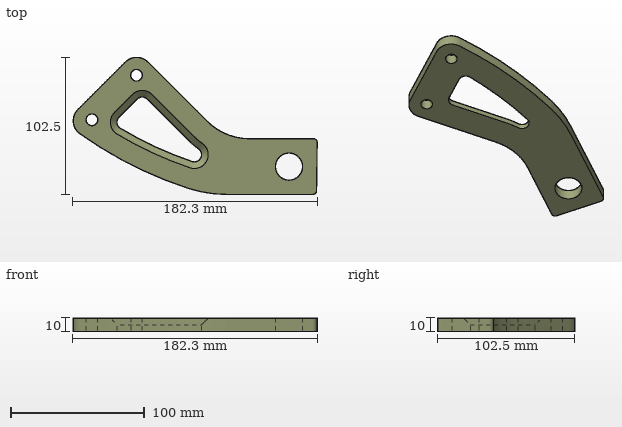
import cadquery as cq
import math

length = 182.3
thickness = 10.0
arm_width = 41.8
end_slant = 0.5
end_radius = 3.0
pivot_diameter = 20.0
pivot_x = 161.2

corner_radius = 11.9
corner_pitch = 50.3
lower_corner = (corner_radius, 55.0)
mount_diameter = 8.5
mount_pitch = 47.0
lower_mount = (14.0, 55.8)

inner_bend_radius = 44.7
outer_bend_radius = 93.0
outer_bend_start_x = 114.7
outer_bend_angle = math.radians(18)

side_wall = 20.0
mount_wall = 25.9
window_radius = 5.3
window_chamfer = thickness / 2

DIAGONAL = math.radians(45)


def polar(center, radius, angle):
    """Point at a distance and angle from a center."""
    return (center[0] + radius * math.cos(angle), center[1] + radius * math.sin(angle))


def direction(start, end):
    """Angle of the line from start to end."""
    return math.atan2(end[1] - start[1], end[0] - start[0])


def arc_middle(center, start, end):
    """Middle point of the shorter arc from start to end about a center."""
    chord_middle = ((start[0] + end[0]) / 2, (start[1] + end[1]) / 2)
    return polar(center, math.dist(center, start), direction(center, chord_middle))


upper_corner = polar(lower_corner, corner_pitch, DIAGONAL)
upper_mount = polar(lower_mount, mount_pitch, DIAGONAL)
edge_start = polar(upper_corner, corner_radius, DIAGONAL)
edge_sum = edge_start[0] + edge_start[1]
inner_corner_x = edge_sum - arm_width
inner_bend_end_x = inner_corner_x + inner_bend_radius * math.tan(DIAGONAL / 2)
inner_center = (inner_bend_end_x, arm_width + inner_bend_radius)
edge_end = polar(inner_center, -inner_bend_radius, DIAGONAL)

outer_center = (outer_bend_start_x, outer_bend_radius)
outer_normal = math.pi / 2 - outer_bend_angle
outer_bend_end = polar(outer_center, -outer_bend_radius, outer_normal)
offset_x = outer_bend_end[0] - lower_corner[0]
offset_y = outer_bend_end[1] - lower_corner[1]
normal_offset = offset_x * math.cos(outer_normal) + offset_y * math.sin(outer_normal)
long_radius = (corner_radius**2 - offset_x**2 - offset_y**2) / (2 * (normal_offset + corner_radius))
long_center = polar(outer_bend_end, long_radius, outer_normal)
long_end = polar(lower_corner, corner_radius, direction(long_center, lower_corner))


def make_plate():
    """Bent plate with rounded arm corners."""
    mount_edge_end = polar(lower_corner, corner_radius, 3 * DIAGONAL)
    plate = (
        cq.Workplane("XY")
        .moveTo(outer_bend_start_x, 0)
        .lineTo(length - end_slant, 0)
        .lineTo(length, arm_width)
        .lineTo(inner_bend_end_x, arm_width)
        .threePointArc(polar(inner_center, -inner_bend_radius, 1.5 * DIAGONAL), edge_end)
        .lineTo(*edge_start)
        .threePointArc(
            polar(upper_corner, corner_radius, 2 * DIAGONAL),
            polar(upper_corner, corner_radius, 3 * DIAGONAL),
        )
        .lineTo(*mount_edge_end)
        .threePointArc(arc_middle(lower_corner, mount_edge_end, long_end), long_end)
        .threePointArc(arc_middle(long_center, long_end, outer_bend_end), outer_bend_end)
        .threePointArc(
            arc_middle(outer_center, outer_bend_end, (outer_bend_start_x, 0)),
            (outer_bend_start_x, 0),
        )
        .close()
        .extrude(thickness)
    )
    lower_end = cq.selectors.NearestToPointSelector((length - end_slant, 0, thickness / 2))
    plate = plate.edges("|Z and >X").fillet(end_radius)
    return plate.edges(lower_end).fillet(end_radius)


def make_window():
    """Through window parallel to the plate sides, flared by a chamfer at the top."""
    inset = side_wall + window_radius
    path_inner_radius = inner_bend_radius + inset
    path_long_radius = long_radius - inset

    along_mount_edge = polar(edge_start, -inset, DIAGONAL)
    mount_inset = mount_wall + window_radius - corner_radius
    top_corner = polar(along_mount_edge, mount_inset, -DIAGONAL)

    to_center_x = long_center[0] - top_corner[0]
    to_center_y = long_center[1] - top_corner[1]
    along = -(to_center_x + to_center_y) * math.cos(DIAGONAL)
    across_squared = math.dist(top_corner, long_center) ** 2 - along**2
    left_corner = polar(top_corner, -along - math.sqrt(path_long_radius**2 - across_squared), DIAGONAL)

    span = math.dist(inner_center, long_center)
    cosine = (path_inner_radius**2 + span**2 - path_long_radius**2) / (2 * span * path_inner_radius)
    right_angle = direction(inner_center, long_center) + math.acos(cosine)
    right_corner = polar(inner_center, path_inner_radius, right_angle)
    bend_start = polar(inner_center, -path_inner_radius, DIAGONAL)

    window = (
        cq.Workplane("XY")
        .moveTo(*top_corner)
        .lineTo(*bend_start)
        .threePointArc(arc_middle(inner_center, bend_start, right_corner), right_corner)
        .threePointArc(arc_middle(long_center, right_corner, left_corner), left_corner)
        .close()
        .offset2D(window_radius)
        .extrude(thickness)
    )
    return window


plate = make_plate()
holes = (
    cq.Workplane("XY")
    .pushPoints([lower_mount, upper_mount])
    .circle(mount_diameter / 2)
    .moveTo(pivot_x, arm_width / 2)
    .circle(pivot_diameter / 2)
    .extrude(thickness)
)
body = plate.cut(make_window())
window_rim = body.faces(">Z").val().innerWires()[0].Edges()
result = body.newObject(window_rim).chamfer(window_chamfer).cut(holes)